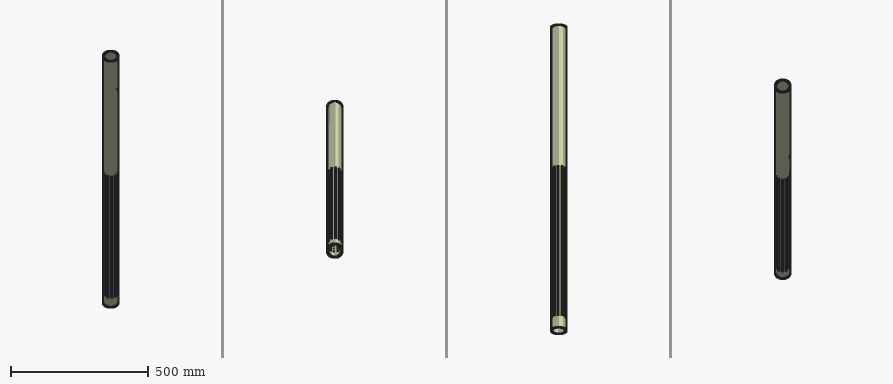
import cadquery as cq

outer_diameter = 57.0
inner_diameter = 49.0
tube_length = 1240.0

flute_count = 12
flute_radius = 2.0
flute_bottom = 50.0
flute_top = 660.0

outer_radius = outer_diameter / 2
straight_bottom = flute_bottom + flute_radius
straight_top = flute_top - flute_radius


def make_tube():
    ring = cq.Workplane("XY").circle(outer_radius).circle(inner_diameter / 2)
    return ring.extrude(tube_length)


def make_flute_cutter():
    """Upright ball-ended rod whose axis lies on the outer surface at +X."""
    half_profile = (
        cq.Workplane("XZ")
        .moveTo(0, flute_bottom)
        .radiusArc((flute_radius, straight_bottom), -flute_radius)
        .lineTo(flute_radius, straight_top)
        .radiusArc((0, flute_top), -flute_radius)
        .close()
    )
    rod = half_profile.revolve(360, (0, 0, 0), (0, 1, 0))
    return rod.translate((outer_radius, 0, 0))


def cut_flutes(tube):
    cutter = make_flute_cutter()
    for index in range(flute_count):
        angle = index * 360 / flute_count
        tube = tube.cut(cutter.rotate((0, 0, 0), (0, 0, 1), angle))
    return tube


result = cut_flutes(make_tube())